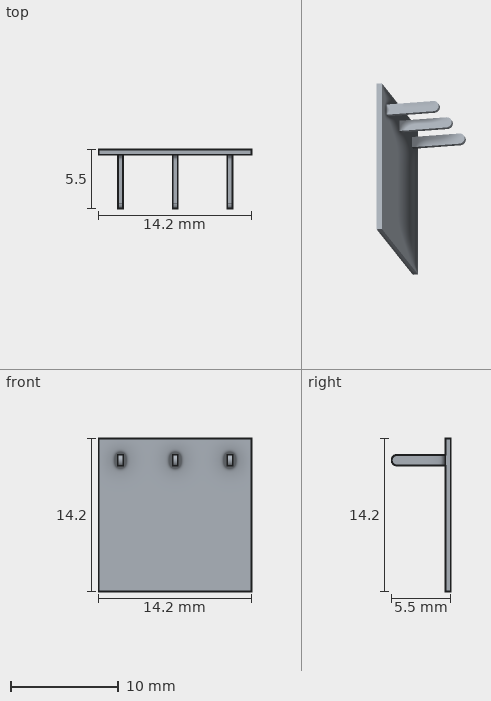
import cadquery as cq

plate_side = 14.22
plate_thickness = 0.5

pin_count = 3
pin_pitch = 5.08
pin_width = 0.5
pin_height = 1.0
pin_length = 5.0
pin_top_margin = 1.52

pin_tip_radius = pin_height / 2
pin_center_z = plate_side / 2 - pin_top_margin - pin_tip_radius


def make_plate():
    """Plate with its front face on Y = 0."""
    return cq.Workplane("XY").box(
        plate_side, plate_thickness, plate_side, centered=(True, False, True)
    )


def make_pin(center_x):
    """Pin pointing toward -Y from the front face, with a half-round tip."""
    straight_end_y = -(pin_length - pin_tip_radius)
    top_z = pin_center_z + pin_tip_radius
    bottom_z = pin_center_z - pin_tip_radius
    return (
        cq.Workplane("YZ", origin=(center_x - pin_width / 2, 0, 0))
        .moveTo(0, bottom_z)
        .lineTo(straight_end_y, bottom_z)
        .threePointArc((-pin_length, pin_center_z), (straight_end_y, top_z))
        .lineTo(0, top_z)
        .close()
        .extrude(pin_width)
    )


result = make_plate()
for index in range(pin_count):
    pin_x = (index - (pin_count - 1) / 2) * pin_pitch
    result = result.union(make_pin(pin_x))